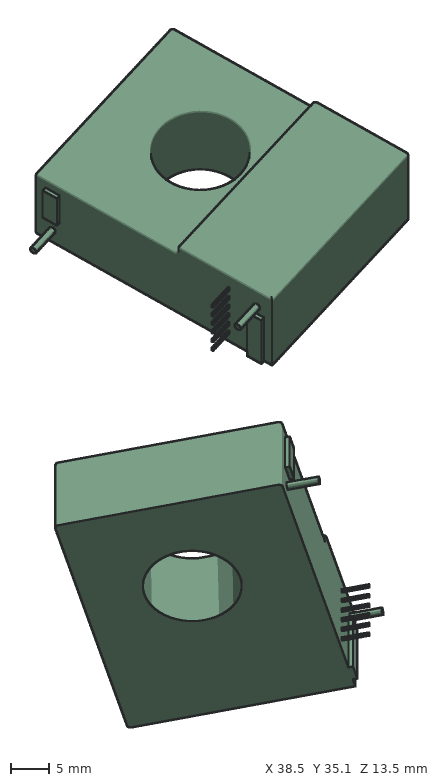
import cadquery as cq
length = 38.5
depth = 30.8
raised_height = 13.5
low_height = 12.0
step_from_left = 23.1
edge_radius = 0.5

left = -length / 2
right = length / 2
front = -depth / 2
step_x = left + step_from_left

bore_diameter = 12.95
bore_x = left + 15.25
bore_y = front + 16.05

pad_width = 2.3
pad_thickness = 0.6
left_pad_x = left + 2.95
left_pad_bottom = 4.9
left_pad_top = 10.5
right_pad_x = right - 2.45
right_pad_top = 9.0

round_pin_diameter = 1.0
round_pin_length = 4.3
left_pin_z = 2.55
right_pin_z = 10.5

contact_count = 6
contact_span = 8.97
contact_width = 0.25
contact_height = 0.4
contact_length = 3.7
contact_x = right - 7.0
lowest_contact_z = 1.95
contact_pitch = contact_span / (contact_count - 1)


def stepped_housing():
    profile = [
        (left, 0),
        (right, 0),
        (right, raised_height),
        (step_x, raised_height),
        (step_x, low_height),
        (left, low_height),
    ]
    body = cq.Workplane("XZ", origin=(0, depth / 2, 0)).polyline(profile).close().extrude(depth)
    body = body.edges("|Z and (<X or (>X and >Y))").fillet(edge_radius)
    inside_corner = cq.selectors.NearestToPointSelector((step_x, 0, low_height))
    body = body.edges(inside_corner).fillet(edge_radius)
    bore = cq.Workplane("XY").center(bore_x, bore_y).circle(bore_diameter / 2).extrude(low_height)
    body = body.cut(bore)
    raised_top_edges = body.faces(">Z").edges()
    low_top = cq.selectors.NearestToPointSelector((bore_x, bore_y, low_height))
    low_top_edges = body.faces(low_top).edges("not(|Y and >X)")
    return body.newObject(raised_top_edges.vals() + low_top_edges.vals()).fillet(edge_radius)


def front_block(x, bottom, top, width, reach):
    """Rectangular block standing out from the front face."""
    height = top - bottom
    middle = (x, front - reach / 2, bottom + height / 2)
    return cq.Workplane("XY").box(width, reach, height).translate(middle)


def round_pin(x, z):
    """Round pin standing out from the front face."""
    root = cq.Workplane("XZ", origin=(x, front, z))
    return root.circle(round_pin_diameter / 2).extrude(round_pin_length)


part = stepped_housing()

part = part.union(front_block(left_pad_x, left_pad_bottom, left_pad_top, pad_width, pad_thickness))
part = part.union(front_block(right_pad_x, 0, right_pad_top, pad_width, pad_thickness))

part = part.union(round_pin(left_pad_x, left_pin_z))
part = part.union(round_pin(right_pad_x, right_pin_z))

for i in range(contact_count):
    bottom = lowest_contact_z + i * contact_pitch - contact_height / 2
    top = bottom + contact_height
    part = part.union(front_block(contact_x, bottom, top, contact_width, contact_length))

result = part.solids()